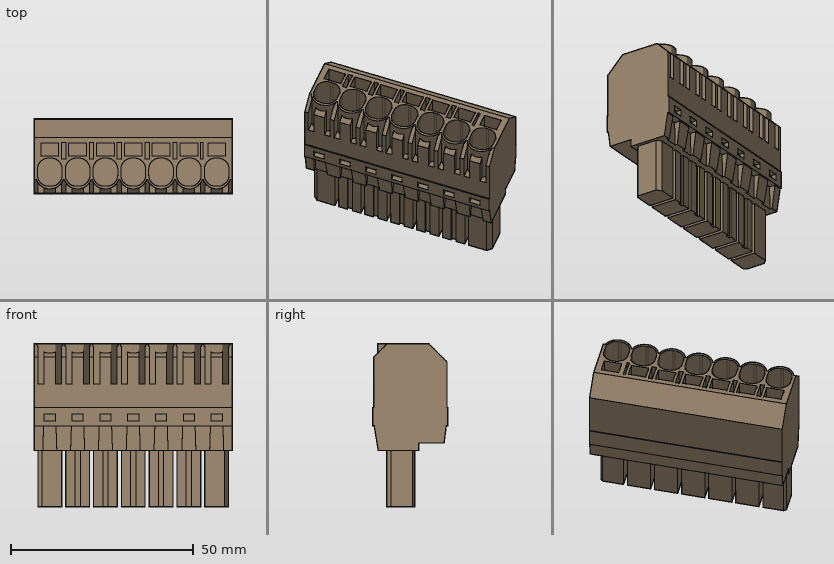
import cadquery as cq


pole_count = 7
pitch = 7.62
length = 54.24
height = 44.7
pole_centers = [(i - (pole_count - 1) / 2) * pitch for i in range(pole_count)]

front_y = -10.05
back_y = 10.1
collar_half_depth = 10.3
collar_top_z = 27.25
collar_bottom_z = 22.2
front_chamfer = 3.7
back_chamfer = 5.0
skirt_top_y = 9.9
skirt_front_bottom_y = -8.8
skirt_back_bottom_y = 9.3
skirt_bottom_z = 15.4
step_y = 2.35
step_z = 17.5

well_y = -4.33
well_width = 6.76
well_length = 7.7
well_corner_radius = 3.05
well_depth = 15.0
barrel_radius = 3.9
barrel_y = -5.05

relief_half_width = 3.22
tongue_half_width = 1.55
relief_bottom_z = 33.7

opening_width = 4.9
opening_front_y = 0.07
opening_back_y = 3.65
separator_width = 1.2
separator_front_y = -0.7
separator_back_y = 3.85
top_pocket_depth = 10.0

window_width = 3.05
window_bottom_z = 23.5
window_top_z = 25.4
window_depth = 1.5

recess_floor_y = -8.1
recess_top_half_width = 1.7
recess_bottom_half_width = 1.93

pin_width = 6.55
pin_front_y = -6.5
pin_back_y = 1.28
pin_front_chamfer = 1.2
pin_back_chamfer = 0.65
groove_width = 1.45
groove_depth = 0.6


def box(x0, x1, y0, y1, z0, z1):
    """Box between two opposite corners."""
    return cq.Workplane("XY").box(x1 - x0, y1 - y0, z1 - z0, centered=False).translate((x0, y0, z0))


def make_housing():
    """Housing outline extruded over the full row of poles."""
    outline = [
        (front_y + front_chamfer, height),
        (back_y - back_chamfer, height),
        (back_y, height - back_chamfer),
        (back_y, collar_top_z),
        (collar_half_depth, collar_top_z),
        (collar_half_depth, collar_bottom_z),
        (skirt_top_y, collar_bottom_z),
        (skirt_back_bottom_y, step_z),
        (step_y, step_z),
        (step_y, skirt_bottom_z),
        (skirt_front_bottom_y, skirt_bottom_z),
        (-skirt_top_y, collar_bottom_z),
        (-collar_half_depth, collar_bottom_z),
        (-collar_half_depth, collar_top_z),
        (front_y, collar_top_z),
        (front_y, height - front_chamfer),
    ]
    return cq.Workplane("YZ").polyline(outline).close().extrude(length / 2, both=True)


def make_barrel(x):
    """Round column around a screw well."""
    column = cq.Workplane("XY", origin=(x, barrel_y, relief_bottom_z)).circle(barrel_radius)
    return column.extrude(height - relief_bottom_z)


def make_relief(x):
    """Pockets on both sides of the tongue, in front of the barrel axis."""
    pocket = box(x - relief_half_width, x + relief_half_width, front_y, barrel_y, relief_bottom_z, height)
    tongue = box(x - tongue_half_width, x + tongue_half_width, front_y, barrel_y, relief_bottom_z, height)
    return pocket.cut(tongue)


def make_well(x):
    """Screw well with a rounded rectangular outline."""
    well = cq.Workplane("XY", origin=(x, well_y, height - well_depth)).rect(well_width, well_length)
    return well.extrude(well_depth).edges("|Z").fillet(well_corner_radius)


def make_opening(x):
    """Rectangular test opening behind a screw well."""
    return box(x - opening_width / 2, x + opening_width / 2, opening_front_y, opening_back_y,
               height - top_pocket_depth, height)


def make_separator(index):
    """Slot between a pole and the next one; the last slot is only its left half."""
    middle = pole_centers[index] + pitch / 2
    is_last = index == pole_count - 2
    right = middle if is_last else middle + separator_width / 2
    return box(middle - separator_width / 2, right, separator_front_y, separator_back_y,
               height - top_pocket_depth, height)


def make_window(x):
    """Blind latch window in the front of the collar."""
    return box(x - window_width / 2, x + window_width / 2, -collar_half_depth,
               window_depth - collar_half_depth, window_bottom_z, window_top_z)


def make_skirt_recess(x):
    """Recess below the collar with an upright floor, widening downward."""
    outline = [
        (x - recess_bottom_half_width, skirt_bottom_z),
        (x + recess_bottom_half_width, skirt_bottom_z),
        (x + recess_top_half_width, collar_bottom_z),
        (x - recess_top_half_width, collar_bottom_z),
    ]
    plane = cq.Workplane("XZ", origin=(0, recess_floor_y, 0))
    return plane.polyline(outline).close().extrude(recess_floor_y + collar_half_depth)


def make_pin(index):
    """Pin: end pins have chamfered outer corners, inner pins a front groove."""
    x = pole_centers[index]
    pin = box(x - pin_width / 2, x + pin_width / 2, pin_front_y, pin_back_y, 0, skirt_bottom_z)
    if index == 0:
        outer_side = "<X"
    elif index == pole_count - 1:
        outer_side = ">X"
    else:
        groove = box(x - groove_width / 2, x + groove_width / 2, pin_front_y,
                     pin_front_y + groove_depth, 0, skirt_bottom_z)
        return pin.cut(groove)
    pin = pin.edges(f"|Z and {outer_side} and <Y").chamfer(pin_front_chamfer)
    return pin.edges(f"|Z and {outer_side} and >Y").chamfer(pin_back_chamfer)


result = make_housing()

for pole_x in pole_centers:
    result = result.cut(make_relief(pole_x))
for pole_x in pole_centers:
    result = result.union(make_barrel(pole_x))
for pole_x in pole_centers:
    result = result.cut(make_well(pole_x))
    result = result.cut(make_opening(pole_x))
    result = result.cut(make_window(pole_x))
    result = result.cut(make_skirt_recess(pole_x))

for gap_index in range(pole_count - 1):
    result = result.cut(make_separator(gap_index))

for pin_index in range(pole_count):
    result = result.union(make_pin(pin_index))